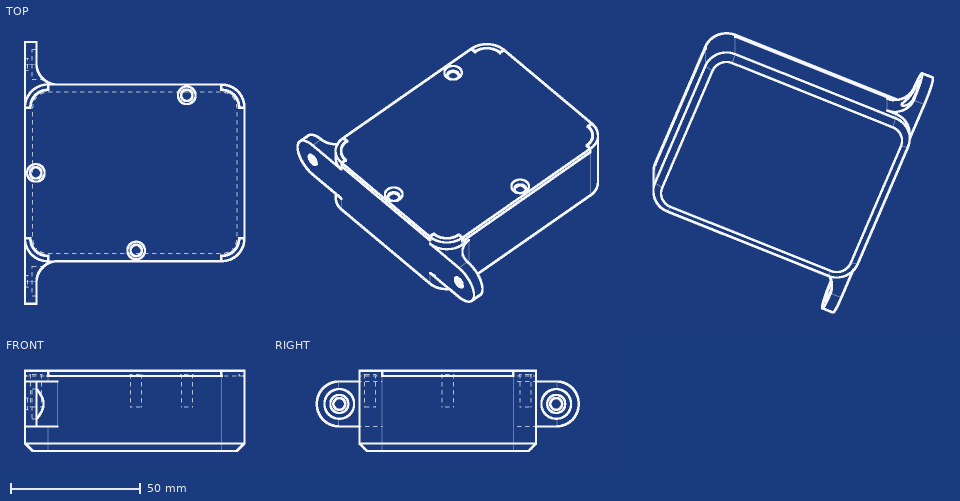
import cadquery as cq

box_length = 84.93
box_height = 31.1
ear_reach = 16.5
ear_span = 101.42
box_width = ear_span - 2 * ear_reach
half_width = box_width / 2
corner_radius = 8.85
bottom_chamfer = 3.0

lid_thickness = 2.1
lid_seat = box_height - lid_thickness
post_thickness = 2.0
post_clearance = 0.2

lid_screw_inset = 4.2
lid_screw_hole = 4.5
lid_screw_head = 6.8
lid_countersink_depth = 1.5
pilot_hole = 4.3
pilot_depth = 12.0
rear_screw_x = 62.6
front_screw_x = 43.0
lid_screw_points = [
    (lid_screw_inset, 0),
    (rear_screw_x, half_width - lid_screw_inset),
    (front_screw_x, lid_screw_inset - half_width),
]

ear_height = 17.5
ear_thickness = 4.5
ear_top_drop = 4.1
ear_fillet = 8.0
ear_bottom = box_height - ear_top_drop - ear_height
ear_middle = ear_bottom + ear_height / 2

ear_hole = 4.5
ear_hole_land = 1.0
ear_countersink_depth = 1.8
ear_countersink = 7.0
ear_recess = 11.5
ear_recess_start = ear_hole_land + ear_countersink_depth
ear_hole_offset = (ear_span - ear_height) / 2


def rounded_block(bottom, height):
    """Upright block with the rounded outline of the box."""
    return (
        cq.Workplane("XY", origin=(box_length / 2, 0, bottom))
        .rect(box_length, box_width)
        .extrude(height)
        .edges("|Z")
        .fillet(corner_radius)
    )


def cone(plane, origin, start_diameter, end_diameter, depth):
    """Cone between two diameters, starting at the origin along the plane's normal."""
    return (
        cq.Workplane(plane, origin=origin)
        .circle(start_diameter / 2)
        .workplane(offset=depth)
        .circle(end_diameter / 2)
        .loft()
    )


def corner_post(x_side, y_side, clearance):
    """Quarter ring in one rounded corner, grown inward on all sides by the clearance."""
    x_centre = box_length / 2 + x_side * (box_length / 2 - corner_radius)
    y_centre = y_side * (half_width - corner_radius)
    side = corner_radius + clearance
    middle_offset = side / 2 - clearance
    quarter = (
        cq.Workplane("XY", origin=(x_centre, y_centre, lid_seat))
        .center(x_side * middle_offset, y_side * middle_offset)
        .rect(side, side)
        .extrude(lid_thickness)
    )
    core = (
        cq.Workplane("XY", origin=(x_centre, y_centre, lid_seat))
        .circle(corner_radius - post_thickness - clearance)
        .extrude(lid_thickness)
    )
    return rounded_block(lid_seat, lid_thickness).intersect(quarter).cut(core)


def ear_bar():
    """Round-ended bar along the mounting face that forms both ears."""
    return (
        cq.Workplane("YZ", origin=(0, 0, ear_middle))
        .slot2D(ear_span, ear_height)
        .extrude(ear_thickness)
    )


def ear_web(y_side):
    """Concave fillet between an ear and the box, filling the rounded box corner behind it."""
    wall = y_side * half_width
    fillet_end_x = ear_thickness + ear_fillet
    return (
        cq.Workplane("XY", origin=(0, 0, ear_bottom))
        .lineTo(fillet_end_x, 0)
        .lineTo(fillet_end_x, wall)
        .radiusArc((ear_thickness, wall + y_side * ear_fillet), y_side * ear_fillet)
        .lineTo(ear_thickness, wall)
        .lineTo(0, wall)
        .close()
        .extrude(ear_height)
    )


def ear_screw_hole(y_side):
    """Cutter for one ear hole, with a recess that also bites into the fillet."""
    y = y_side * ear_hole_offset
    shank = cq.Workplane("YZ", origin=(0, y, ear_middle)).circle(ear_hole / 2).extrude(ear_thickness)
    countersink = cone(
        "YZ", (ear_hole_land, y, ear_middle), ear_hole, ear_countersink, ear_countersink_depth
    )
    recess = (
        cq.Workplane("YZ", origin=(ear_recess_start, y, ear_middle))
        .circle(ear_recess / 2)
        .extrude(ear_thickness + ear_fillet - ear_recess_start)
    )
    return shank.union(countersink).union(recess)


def make_housing():
    housing = rounded_block(0, lid_seat).faces("<Z").edges().chamfer(bottom_chamfer)
    for x_side in (-1, 1):
        for y_side in (-1, 1):
            housing = housing.union(corner_post(x_side, y_side, 0))
    housing = housing.union(ear_bar())
    for y_side in (-1, 1):
        housing = housing.union(ear_web(y_side)).cut(ear_screw_hole(y_side))
    pilots = (
        cq.Workplane("XY", origin=(0, 0, lid_seat - pilot_depth))
        .pushPoints(lid_screw_points)
        .circle(pilot_hole / 2)
        .extrude(pilot_depth)
    )
    return housing.cut(pilots)


def make_lid():
    lid = rounded_block(lid_seat, lid_thickness)
    for x_side in (-1, 1):
        for y_side in (-1, 1):
            lid = lid.cut(corner_post(x_side, y_side, post_clearance))
    for x, y in lid_screw_points:
        shank = (
            cq.Workplane("XY", origin=(x, y, lid_seat))
            .circle(lid_screw_hole / 2)
            .extrude(lid_thickness)
        )
        countersink = cone(
            "XY",
            (x, y, box_height - lid_countersink_depth),
            lid_screw_hole,
            lid_screw_head,
            lid_countersink_depth,
        )
        lid = lid.cut(shank).cut(countersink)
    return lid


housing = make_housing()
lid = make_lid()

result = cq.Compound.makeCompound([housing.val(), lid.val()])